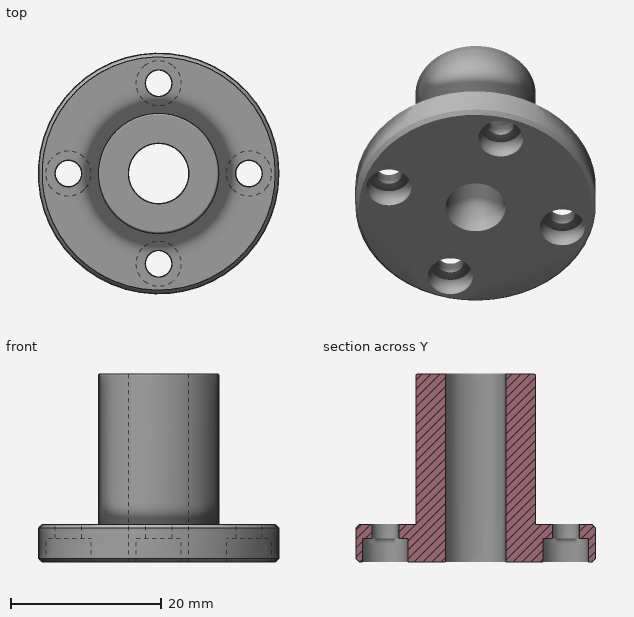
import cadquery as cq

flange_diameter = 32.0
flange_thickness = 5.0
flange_chamfer = 0.5

sleeve_diameter = 16.0
total_height = 25.0
sleeve_fillet = 0.25
bore_diameter = 8.0

screw_count = 4
screw_circle_diameter = (flange_diameter + sleeve_diameter) / 2
screw_hole_diameter = 3.5
counterbore_diameter = 6.0
counterbore_depth = 3.1


def make_flange():
    """Round flange on the XY plane, chamfered on both rims."""
    disc = cq.Workplane("XY").circle(flange_diameter / 2).extrude(flange_thickness)
    return disc.edges().chamfer(flange_chamfer)


def make_sleeve():
    """Round sleeve, rounded over at its top rim."""
    cylinder = cq.Workplane("XY").circle(sleeve_diameter / 2).extrude(total_height)
    return cylinder.faces(">Z").edges().fillet(sleeve_fillet)


def make_bore():
    """Bore through the full height."""
    return cq.Workplane("XY").circle(bore_diameter / 2).extrude(total_height)


def make_screw_holes(diameter, depth):
    """Cutters for the ring of screw holes, rising from the underside."""
    return (
        cq.Workplane("XY")
        .polarArray(screw_circle_diameter / 2, 0, 360, screw_count)
        .circle(diameter / 2)
        .extrude(depth)
    )


result = (
    make_flange()
    .union(make_sleeve())
    .cut(make_bore())
    .cut(make_screw_holes(screw_hole_diameter, flange_thickness))
    .cut(make_screw_holes(counterbore_diameter, counterbore_depth))
)